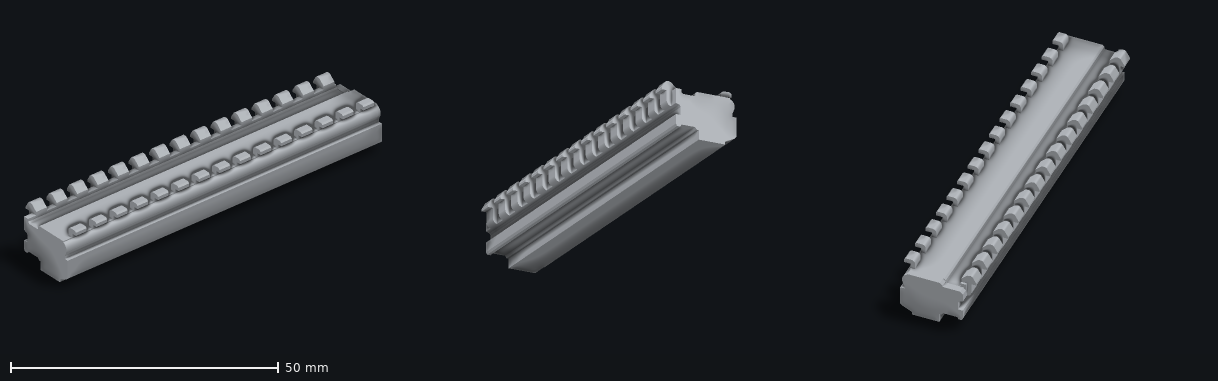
import cadquery as cq

length = 76.5

deck_top = 9.5
shoulder_z = 9.25
groove_floor = 8.6
ledge_top = 6.5
underside = 1.9

wall_x = 1.9
rim_x = 3.05
groove_end_x = 6.05
deck_end_x = 13.4
right_x = 14.7

corner = 0.3
groove_chamfer = 0.2

clip_count = 15
clip_width = 2.6
first_clip_y = 2.0
last_clip_y = 72.0
clip_pitch = (last_clip_y - first_clip_y) / (clip_count - 1)
clip_top = 11.5

relief_length = 1.45
relief_floor = 8.7
relief_bevel = 0.5
relief_deck_end_x = 13.15


def extrude_y(outline, start, depth):
    """Extrude a closed XZ outline from Y = start to Y = start + depth."""
    return outline.extrude(-depth).translate((0, start, 0))


def body_outline():
    """Cross-section of the strip, counterclockwise from the foot's left corner."""
    foot_left_x = 6.7
    foot_right_x = 12.3
    flank_top = 5.8
    notch_x = 13.85
    recess_x = 2.9
    recess_bottom = 4.3
    channel_top = 2.4
    return (
        cq.Workplane("XZ")
        .moveTo(foot_left_x, 0)
        .lineTo(foot_right_x, 0)
        .lineTo(foot_right_x, 0.6)
        .lineTo(14.3, 1.5)
        .lineTo(right_x, underside)
        .lineTo(right_x, flank_top)
        .lineTo(notch_x, flank_top)
        .lineTo(notch_x, 6.4)
        .lineTo(14.3, 7.5)
        .threePointArc((14.15, 8.6), (deck_end_x, shoulder_z))
        .lineTo(deck_end_x, deck_top)
        .lineTo(groove_end_x + corner, deck_top)
        .lineTo(groove_end_x, deck_top - corner)
        .lineTo(groove_end_x, groove_floor + groove_chamfer)
        .lineTo(groove_end_x - groove_chamfer, groove_floor)
        .lineTo(rim_x + corner, groove_floor)
        .lineTo(rim_x, groove_floor + corner)
        .lineTo(rim_x, deck_top)
        .lineTo(wall_x, deck_top)
        .lineTo(wall_x, ledge_top)
        .lineTo(2.7, 6.3)
        .lineTo(recess_x, 5.9)
        .lineTo(recess_x, recess_bottom)
        .lineTo(wall_x, recess_bottom)
        .lineTo(wall_x, channel_top)
        .lineTo(2.15, underside)
        .lineTo(2.8, underside)
        .lineTo(3.05, channel_top)
        .lineTo(6.0, channel_top)
        .lineTo(6.3, underside)
        .lineTo(foot_left_x, underside)
        .close()
    )


def left_clip_outline():
    """Hooded clip standing on the rim and wrapping the left wall."""
    neck_x = 1.0
    hood_bottom = 9.6
    return (
        cq.Workplane("XZ")
        .moveTo(rim_x, groove_floor)
        .lineTo(rim_x, 10.25)
        .lineTo(wall_x, 11.3)
        .threePointArc((1.7, 11.4), (1.4, clip_top))
        .lineTo(1.2, clip_top)
        .tangentArcPoint((0.7, 11.2), relative=False)
        .lineTo(0, 10.0)
        .lineTo(0, hood_bottom)
        .lineTo(neck_x, hood_bottom)
        .lineTo(neck_x, 7.5)
        .threePointArc((1.3, 6.8), (wall_x, ledge_top))
        .lineTo(rim_x, ledge_top)
        .close()
    )


def right_clip_outline():
    """Hooked clip standing on the right edge of the deck."""
    hook_x = 12.5
    hook_radius = 0.8
    hook_bottom = 10.5
    root_z = deck_top - corner
    return (
        cq.Workplane("XZ")
        .moveTo(hook_x, root_z)
        .lineTo(hook_x, clip_top - hook_radius)
        .radiusArc((hook_x + hook_radius, clip_top), hook_radius)
        .lineTo(right_x - corner, clip_top)
        .lineTo(right_x, clip_top - corner)
        .lineTo(right_x, hook_bottom)
        .lineTo(deck_end_x, hook_bottom)
        .lineTo(deck_end_x, root_z)
        .close()
    )


def relief_outline():
    """Material taken off the rim and the deck corner at the far end."""
    return (
        cq.Workplane("XZ")
        .moveTo(wall_x, relief_floor - relief_bevel)
        .lineTo(wall_x + relief_bevel, relief_floor)
        .lineTo(groove_end_x, relief_floor)
        .lineTo(groove_end_x, deck_top - relief_bevel)
        .lineTo(groove_end_x + relief_bevel, deck_top)
        .lineTo(groove_end_x + relief_bevel, clip_top)
        .lineTo(wall_x, clip_top)
        .close()
    )


def relief_pad_outline():
    """Raised floor filling the bottom of the groove at the far end."""
    return cq.Workplane("XZ").polyline([
        (rim_x, groove_floor - corner),
        (groove_end_x, groove_floor - corner),
        (groove_end_x, relief_floor),
        (rim_x, relief_floor),
    ]).close()


def relief_shoulder_outline():
    """Bevel on the right edge of the deck at the far end."""
    return cq.Workplane("XZ").polyline([
        (relief_deck_end_x, deck_top),
        (deck_end_x, deck_top),
        (deck_end_x, shoulder_z),
    ]).close()


body = extrude_y(body_outline(), 0, length)

relief_start = length - relief_length
body = body.cut(extrude_y(relief_outline(), relief_start, relief_length))
body = body.cut(extrude_y(relief_shoulder_outline(), relief_start, relief_length))
body = body.union(extrude_y(relief_pad_outline(), relief_start, relief_length))

for index in range(clip_count):
    clip_y = first_clip_y + index * clip_pitch
    body = body.union(extrude_y(left_clip_outline(), clip_y, clip_width))
    body = body.union(extrude_y(right_clip_outline(), clip_y, clip_width))

result = body